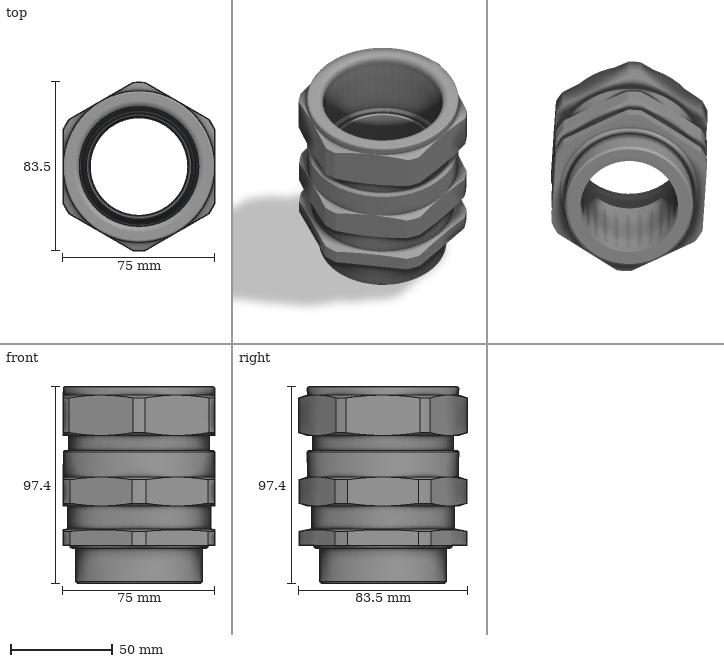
import cadquery as cq
import math

flats_radius = 37.5
total_height = 97.4
bore_radius = 30.1

entry_hex_bottom = 18.85
entry_neck_top = 38.4
collar_top = 65.8
nut_bottom = 73.25
body_top = 79.3

thread_radius = 31.5
thread_chamfer = 1.1
entry_neck_radius = 35.5
entry_corner_radius = 41.45
entry_hex_height = 7.75
entry_hex_slope = 0.2
spigot_radius = 28.55
spigot_top = 53.0
cone_base_radius = 28.25
cone_base_chamfer = 0.4
cone_top_radius = 26.55
cone_top = 63.3
cone_edge_chamfer = 0.5
entry_bore_bottom_radius = 24.15
entry_bore_top_radius = 25.0
entry_bore_fillet = 0.6

ring_tube_radius = 1.4

body_corner_radius = 41.45
body_hex_height = 14.25
body_hex_slope = 0.33
collar_chamfer = 0.7
body_neck_radius = 35.0
step_top = 63.4
step_inner_radius = 29.4
step_chamfer = step_inner_radius - spigot_radius

nut_corner_radius = 41.75
nut_hex_height = 19.95
nut_hex_slope = 0.33
nut_rim_fillet = 1.1
lip_radius = 29.6
lip_fillet = 2.9
lip_land = 0.9


def revolve(profile):
    """Turn a radius-height outline about Z."""
    return profile.close().revolve(360, (0, 0, 0), (0, 1, 0))


def hexagon(bottom, height, corner_radius, core_radius, top_slope, bottom_slope):
    """Hexagon with flats facing X, turned corners and conical ends.

    The lower cone starts at the flats, the upper one at the turned core that rises from it.
    The height is the full height at the middle of a flat, and a slope is a fall per unit of radius.
    """
    top = bottom + height
    corner_overhang = corner_radius - flats_radius
    prism = (
        cq.Workplane("XY")
        .workplane(offset=bottom)
        .polygon(6, 2 * flats_radius / math.cos(math.pi / 6))
        .extrude(2 * height)
        .rotate((0, 0, 0), (0, 0, 1), 30)
    )
    core_top = top + top_slope * (flats_radius - core_radius)
    envelope = revolve(
        cq.Workplane("XZ")
        .moveTo(0, bottom)
        .lineTo(flats_radius, bottom)
        .lineTo(corner_radius, bottom + bottom_slope * corner_overhang)
        .lineTo(corner_radius, top - top_slope * corner_overhang)
        .lineTo(core_radius, core_top)
        .lineTo(0, core_top)
    )
    return prism.intersect(envelope)


def make_sealing_ring():
    """O-ring around the thread, half sunk in the underside of the entry hexagon."""
    tube_center_radius = thread_radius + ring_tube_radius
    return cq.Workplane("XY").add(
        cq.Solid.makeTorus(tube_center_radius, ring_tube_radius, cq.Vector(0, 0, entry_hex_bottom))
    )


def make_entry(ring):
    """Thread, flat-bottomed hexagon and neck, with a spigot and a cone inside the gland body."""
    flange = hexagon(
        entry_hex_bottom, entry_hex_height, entry_corner_radius, entry_neck_radius, entry_hex_slope, 0
    )
    turned = revolve(
        cq.Workplane("XZ")
        .moveTo(0, 0)
        .lineTo(thread_radius - thread_chamfer, 0)
        .lineTo(thread_radius, thread_chamfer)
        .lineTo(thread_radius, entry_hex_bottom)
        .lineTo(entry_neck_radius, entry_hex_bottom)
        .lineTo(entry_neck_radius, entry_neck_top)
        .lineTo(spigot_radius, entry_neck_top)
        .lineTo(spigot_radius, spigot_top)
        .lineTo(cone_base_radius, spigot_top)
        .lineTo(cone_base_radius - cone_base_chamfer, spigot_top + cone_base_chamfer)
        .lineTo(cone_top_radius, cone_top - cone_edge_chamfer)
        .lineTo(cone_top_radius - cone_edge_chamfer, cone_top)
        .lineTo(0, cone_top)
    )
    bore = revolve(
        cq.Workplane("XZ")
        .moveTo(0, 0)
        .lineTo(entry_bore_bottom_radius, 0)
        .lineTo(entry_bore_top_radius, cone_top - entry_bore_fillet)
        .radiusArc((entry_bore_top_radius + entry_bore_fillet, cone_top), entry_bore_fillet)
        .lineTo(0, cone_top)
    )
    return flange.union(turned).cut(bore).cut(ring)


def make_body():
    """Hexagon, collar and upper neck, with a chamfered step in the bore above the spigot."""
    wrench_hexagon = hexagon(
        entry_neck_top, body_hex_height, body_corner_radius, flats_radius, body_hex_slope, body_hex_slope
    )
    turned = revolve(
        cq.Workplane("XZ")
        .moveTo(0, entry_neck_top)
        .lineTo(flats_radius, entry_neck_top)
        .lineTo(flats_radius, collar_top - collar_chamfer)
        .lineTo(flats_radius - collar_chamfer, collar_top)
        .lineTo(body_neck_radius, collar_top)
        .lineTo(body_neck_radius, body_top)
        .lineTo(0, body_top)
    )
    bore = revolve(
        cq.Workplane("XZ")
        .moveTo(0, entry_neck_top)
        .lineTo(spigot_radius, entry_neck_top)
        .lineTo(spigot_radius, step_top - step_chamfer)
        .lineTo(step_inner_radius, step_top)
        .lineTo(bore_radius, step_top)
        .lineTo(bore_radius, body_top)
        .lineTo(0, body_top)
    )
    return wrench_hexagon.union(turned).cut(bore)


def make_nut():
    """Hexagon with a round rim, a rounded entry lip and a counterbore over the gland body's neck."""
    wrench_hexagon = hexagon(
        nut_bottom, nut_hex_height, nut_corner_radius, flats_radius, nut_hex_slope, nut_hex_slope
    )
    rim = (
        cq.Workplane("XY")
        .workplane(offset=nut_bottom)
        .circle(flats_radius)
        .extrude(total_height - nut_bottom)
        .faces(">Z")
        .edges()
        .fillet(nut_rim_fillet)
    )
    lip_start = total_height - lip_fillet
    bore = revolve(
        cq.Workplane("XZ")
        .moveTo(0, nut_bottom)
        .lineTo(body_neck_radius, nut_bottom)
        .lineTo(body_neck_radius, body_top)
        .lineTo(bore_radius, body_top)
        .lineTo(bore_radius, lip_start - lip_land)
        .lineTo(lip_radius, lip_start - lip_land)
        .lineTo(lip_radius, lip_start)
        .radiusArc((lip_radius + lip_fillet, total_height), lip_fillet)
        .lineTo(0, total_height)
    )
    return wrench_hexagon.union(rim).cut(bore)


ring = make_sealing_ring()
entry = make_entry(ring)
body = make_body()
nut = make_nut()
result = cq.Compound.makeCompound([ring.val(), entry.val(), body.val(), nut.val()])